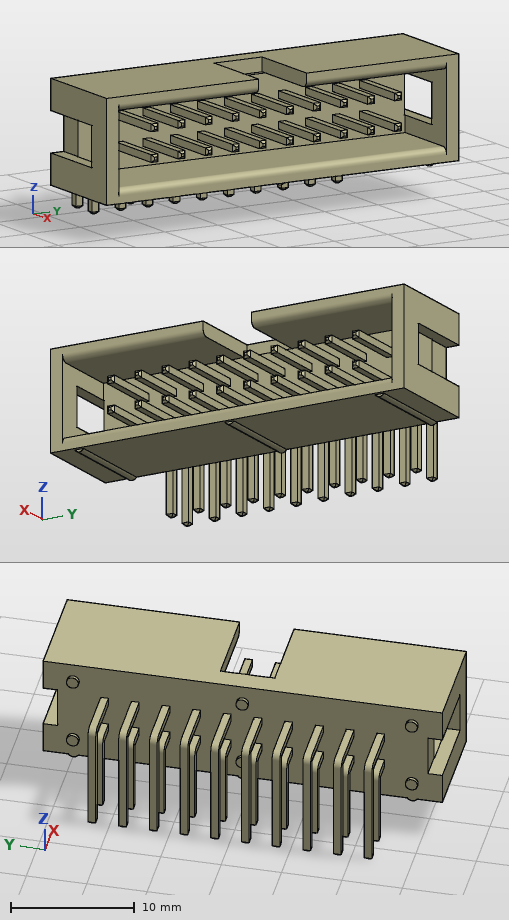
import cadquery as cq


housing_depth = 8.85
housing_length = 33.06
housing_height = 8.85
side_wall = 1.225
end_wall = 1.15
floor_thickness = 2.3
mouth_radius = 0.57

notch_width = 4.5
notch_start = 1.8

slot_height = 3.5
slot_end = 6.5
slot_depth = 1.2

button_diameter = 1.0
button_height = 0.3
button_spacing = 14.03
button_offset_z = 2.85
rib_length = 8.5
rib_projection = 0.22

pin_columns = 10
pin_pitch = 2.54
pin_width = 0.64
tip_length = 0.2
tip_inset = 0.2
pin_front = 8.05
rear_reach = 4.7
overall_height = 12.1
tail_bottom = housing_height / 2 - overall_height

column_positions = [(i - (pin_columns - 1) / 2) * pin_pitch for i in range(pin_columns)]
button_positions = [-button_spacing, 0, button_spacing]


def box(x_start, x_end, y_size, z_start, z_end):
    """Block centred on Y = 0 between the given X and Z limits."""
    return cq.Workplane("XY").box(
        x_end - x_start, y_size, z_end - z_start, centered=(False, True, False)
    ).translate((x_start, 0, z_start))


def make_housing():
    """Open-fronted box with a rounded lead-in at the mouth."""
    half_height = housing_height / 2
    cavity_half_height = half_height - side_wall
    cavity_length = housing_length - 2 * end_wall
    shell = box(0, housing_depth, housing_length, -half_height, half_height)
    cavity = box(floor_thickness, housing_depth, cavity_length, -cavity_half_height, cavity_half_height)
    lead_in = (
        cq.Workplane("XZ")
        .moveTo(housing_depth - mouth_radius, -cavity_half_height)
        .radiusArc((housing_depth, -cavity_half_height - mouth_radius), mouth_radius)
        .lineTo(housing_depth, cavity_half_height + mouth_radius)
        .radiusArc((housing_depth - mouth_radius, cavity_half_height), mouth_radius)
        .close()
        .extrude(cavity_length / 2, both=True)
    )
    return shell.cut(cavity).cut(lead_in)


def make_notch():
    """Opening through the top wall that runs out of the mouth."""
    top = housing_height / 2
    return box(notch_start, housing_depth, notch_width, top - side_wall, top)


def make_latch_slot(side):
    """Slot through one end wall that runs out of the rear face."""
    slot = box(0, slot_end, slot_depth, -slot_height / 2, slot_height / 2)
    return slot.translate((0, side * (housing_length - slot_depth) / 2, 0))


def make_buttons():
    """Two rows of round buttons on the rear face."""
    points = [(y, z) for y in button_positions for z in (-button_offset_z, button_offset_z)]
    return cq.Workplane("YZ").pushPoints(points).circle(button_diameter / 2).extrude(-button_height)


def make_ribs():
    """Part-round ribs along X on the underside."""
    rib_z = -housing_height / 2 - rib_projection + button_diameter / 2
    points = [(y, rib_z) for y in button_positions]
    return cq.Workplane("YZ").pushPoints(points).circle(button_diameter / 2).extrude(rib_length)


def pin_tip(plane):
    """Tapered square tip that grows along the plane normal."""
    end_width = pin_width - 2 * tip_inset
    return (
        cq.Workplane(plane)
        .rect(pin_width, pin_width)
        .workplane(offset=tip_length)
        .rect(end_width, end_width)
        .loft(ruled=True)
    )


def make_pin(pin_z, tail_x):
    """Square pin bent downwards behind the housing, with both ends tapered."""
    half = pin_width / 2
    front_shoulder = pin_front - tip_length
    tail_shoulder = tail_bottom + tip_length
    shank = (
        cq.Workplane("XZ")
        .moveTo(front_shoulder, pin_z + half)
        .lineTo(tail_x + half, pin_z + half)
        .radiusArc((tail_x - half, pin_z - half), -pin_width)
        .lineTo(tail_x - half, tail_shoulder)
        .lineTo(tail_x + half, tail_shoulder)
        .lineTo(tail_x + half, pin_z - half)
        .lineTo(front_shoulder, pin_z - half)
        .close()
        .extrude(half, both=True)
    )
    front_plane = cq.Plane(origin=(front_shoulder, 0, pin_z), xDir=(0, 1, 0), normal=(1, 0, 0))
    tail_plane = cq.Plane(origin=(tail_x, 0, tail_shoulder), xDir=(1, 0, 0), normal=(0, 0, -1))
    return shank.union(pin_tip(front_plane)).union(pin_tip(tail_plane))


result = make_housing().cut(make_notch())
for end_side in (-1, 1):
    result = result.cut(make_latch_slot(end_side))
result = result.union(make_buttons()).union(make_ribs())

upper_tail_x = pin_width / 2 - rear_reach
upper_pin = make_pin(pin_pitch / 2, upper_tail_x)
lower_pin = make_pin(-pin_pitch / 2, upper_tail_x + pin_pitch)
for column_y in column_positions:
    for pin in (upper_pin, lower_pin):
        result = result.union(pin.translate((0, column_y, 0)))